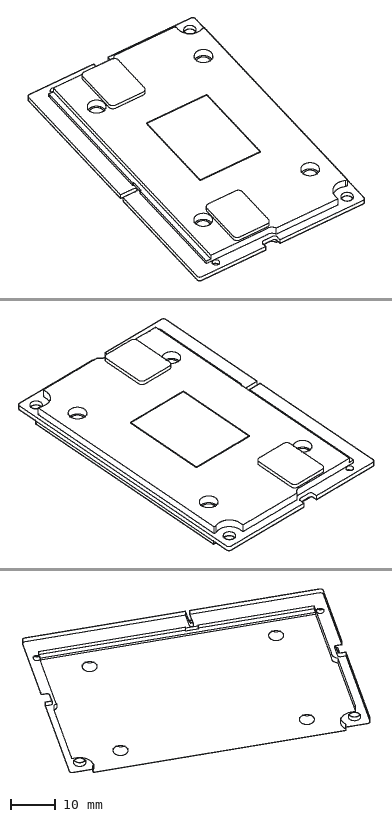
import cadquery as cq
import math

board_length = 69.6
board_width = 45.0
board_thickness = 1.2
board_corner_radius = 0.7
half_length = board_length / 2
back_edge = board_width / 2
front_edge = -board_width / 2

bottom_cover_thickness = 1.45
top_cover_thickness = 1.95
pad_thickness = 1.0
chip_thickness = 0.2
board_bottom = bottom_cover_thickness
board_top = board_bottom + board_thickness
cover_top = board_top + top_cover_thickness

mount_hole_radius = 1.4
mount_hole_inset = 3.0
mount_x = half_length - mount_hole_inset
mount_y = back_edge - mount_hole_inset
mount_clearance_radius = 3.2
clearance_mouth_depth = 0.55

notch_depth = 1.8
notch_back = -0.6
notch_front = -4.45
notch_corner_radius = 0.6

locating_hole_radius = 0.85
locating_x = 32.8
locating_y = -16.55

slot_x = 3.55
slot_width = 1.0
slot_end = -18.45
relief_width = 2.9
relief_depth = 0.3

cover_wide_x = 32.85
cover_narrow_x = 31.9
top_cover_setback = 1.0
bottom_cover_setback = 0.5
cover_front = -18.6
jog_back = -0.35
jog_front = -2.3
jog_radius = 1.6
lip_width = 1.25
top_lip_thickness = 0.8
bottom_lip_thickness = 0.9

screw_x = 21.6
screw_back_y = 16.35
screw_front_y = -12.5
screw_hole_radius = 1.7
screw_bore_radius = 2.1

pad_length = 12.7
pad_width = 9.55
pad_corner_radius = 1.05
pad_x = 25.1
pad_y = -5.6
chip_length = 21.7
chip_width = 16.3
chip_y = 1.95


def cylinders(points, radius, bottom, top):
    """Upright cylinders of one radius between two heights."""
    return cq.Workplane("XY", origin=(0, 0, bottom)).pushPoints(points).circle(radius).extrude(top - bottom)


def mirrored_pair(x, y):
    return [(-x, y), (x, y)]


def make_board():
    board = (
        cq.Workplane("XY", origin=(0, 0, board_bottom))
        .rect(board_length, board_width)
        .extrude(board_thickness)
        .edges("|Z")
        .fillet(board_corner_radius)
    )
    notches = (
        cq.Workplane("XY", origin=(0, 0, board_bottom))
        .pushPoints(mirrored_pair(half_length, (notch_back + notch_front) / 2))
        .rect(2 * notch_depth, notch_back - notch_front)
        .extrude(board_thickness)
        .edges("|Z")
        .fillet(notch_corner_radius)
    )
    slot = (
        cq.Workplane("XY", origin=(slot_x, front_edge, board_bottom))
        .slot2D(2 * (slot_end - front_edge), slot_width, 90)
        .extrude(board_thickness)
    )
    mount_holes = cylinders(mirrored_pair(mount_x, mount_y), mount_hole_radius, board_bottom, board_top)
    locating_points = mirrored_pair(locating_x, locating_y)
    locating_holes = cylinders(locating_points, locating_hole_radius, board_bottom, board_top)
    return board.cut(notches).cut(slot).cut(mount_holes).cut(locating_holes)


def make_cover(back, bottom, thickness):
    """Plate with concave back corners and stepped sides, mirrored about the YZ plane."""
    mouth_y = back - clearance_mouth_depth
    mouth_x = mount_x - math.sqrt(mount_clearance_radius**2 - (mouth_y - mount_y) ** 2)
    diagonal = mount_clearance_radius * math.sqrt(0.5)
    half = (
        cq.Workplane("XY", origin=(0, 0, bottom))
        .moveTo(0, back)
        .lineTo(-mouth_x, back)
        .lineTo(-mouth_x, mouth_y)
        .threePointArc(
            (-mount_x + diagonal, mount_y - diagonal),
            (-mount_x, mount_y - mount_clearance_radius),
        )
        .lineTo(-cover_wide_x, mount_y - mount_clearance_radius)
        .lineTo(-cover_wide_x, jog_back)
        .radiusArc((-cover_narrow_x, jog_front), jog_radius)
        .lineTo(-cover_narrow_x, cover_front)
        .lineTo(0, cover_front)
        .close()
        .extrude(thickness)
    )
    return half.union(half.mirror("YZ"))


def front_strip(x, length, width, bottom, top):
    """Block reaching inward from the front face of the covers."""
    return (
        cq.Workplane("XY", origin=(x, cover_front, bottom))
        .rect(length, 2 * width)
        .extrude(top - bottom)
    )


def make_covers():
    top_cover = make_cover(back_edge - top_cover_setback, board_top, top_cover_thickness)
    bottom_cover = make_cover(back_edge - bottom_cover_setback, 0, bottom_cover_thickness)
    covers = top_cover.union(bottom_cover)
    top_lip = board_top + top_lip_thickness
    bottom_lip = board_bottom - bottom_lip_thickness
    full_length = 2 * cover_narrow_x
    covers = covers.cut(front_strip(0, full_length, lip_width, top_lip, cover_top))
    covers = covers.cut(front_strip(0, full_length, lip_width, 0, bottom_lip))
    covers = covers.cut(front_strip(slot_x, relief_width, relief_depth, board_top, top_lip))
    return covers.cut(front_strip(slot_x, relief_width, relief_depth, bottom_lip, board_bottom))


def make_pads():
    return (
        cq.Workplane("XY", origin=(0, 0, cover_top))
        .pushPoints(mirrored_pair(pad_x, pad_y))
        .rect(pad_length, pad_width)
        .extrude(pad_thickness)
        .edges("|Z")
        .fillet(pad_corner_radius)
    )


def make_chip():
    return (
        cq.Workplane("XY", origin=(0, chip_y, cover_top))
        .rect(chip_length, chip_width)
        .extrude(chip_thickness)
    )


screw_points = mirrored_pair(screw_x, screw_back_y) + mirrored_pair(screw_x, screw_front_y)
screw_holes = cylinders(screw_points, screw_hole_radius, 0, cover_top)
screw_bores = cylinders(screw_points, screw_bore_radius, board_top, cover_top)

body = make_board().union(make_covers()).cut(screw_holes).cut(screw_bores)
result = body.union(make_pads()).union(make_chip())